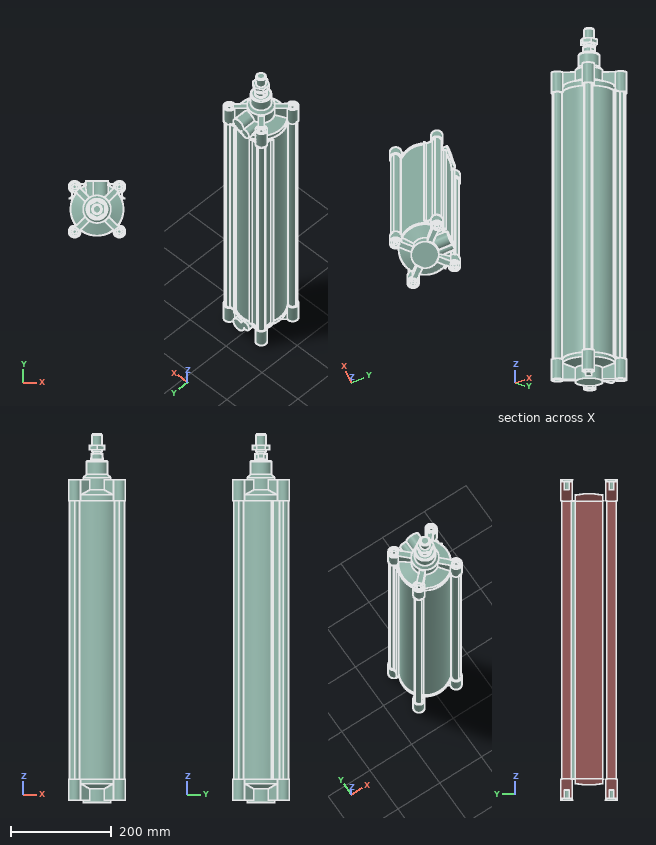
import cadquery as cq
import math

TOTAL_LENGTH = 733.0
CAP_LENGTH = 42.0
REAR_SPIGOT_LENGTH = 4.5
REAR_CAP_INNER = REAR_SPIGOT_LENGTH + CAP_LENGTH
FRONT_CAP_INNER = 600.0
FRONT_CAP_OUTER = FRONT_CAP_INNER + CAP_LENGTH
NECK_TOP = 680.0

BARREL_RADIUS = 53.0
TIE_PITCH = 89.0
TIE_OFFSET = TIE_PITCH / 2
TIE_RADIUS = TIE_OFFSET * math.sqrt(2)
LOBE_DIAMETER = 18.5
LOBE_OUTER_DIAMETER = 20.0
LOBE_WEB_SIDE = 81.0

RAIL_FACE = 50.5
RAIL_THICKNESS = 1.0
RAIL_LIP_START = 24.5
RAIL_LIP_END = 21.5
RAIL_LIP_REACH = 55.0
RAIL_LIP_BASE = 20.5

CAP_RADIUS = 52.5
CORNER_DIAMETER = 24.0
COUNTERBORE_DIAMETER = 16.5
COUNTERBORE_DEPTH = 4.0
SCREW_HOLE_DIAMETER = 8.5
SCREW_HOLE_DEPTH = 20.0
SPIGOT_DIAMETER = 55.0
RIB_WIDTH = 12.0
FRONT_RIM = 11.5
REAR_RIM = 9.0
CONE_HEIGHT = 10.0

PORT_FACE = TIE_OFFSET + CORNER_DIAMETER / 2
PORT_RADIUS = 14.5
PORT_X = 7.5
PORT_HEIGHT = 24.0
CUSHION_RADIUS = 11.0
CUSHION_X = -11.0
CUSHION_HEIGHT = 13.0

COLLAR_TOP = 646.0
NECK_DIAMETER = 42.0
COLLAR_CONE_TOP = COLLAR_TOP + (SPIGOT_DIAMETER - NECK_DIAMETER) / 2
NECK_CHAMFER = 2.5

ROD_DIAMETER = 25.0
HEAD_DIAMETER = 24.5
HEAD_FLATS = 22.0
HEAD_BOTTOM = 683.0
FLATS_BOTTOM = 685.0
SHOULDER = 693.0
UNDERCUT_DIAMETER = 16.5
THREAD_BOTTOM = 697.0
THREAD_DIAMETER = 20.0
THREAD_TIP_DIAMETER = 16.0
THREAD_TIP_LENGTH = 2.5
NUT_FLATS = 30.0
NUT_BOTTOM = 701.0
NUT_THICKNESS = 9.0


def cylinder(diameter, bottom, top, x=0.0, y=0.0):
    """Upright cylinder between two heights."""
    return cq.Workplane("XY", origin=(x, y, bottom)).circle(diameter / 2).extrude(top - bottom)


def revolve_profile(points):
    """Solid of revolution about Z from (radius, height) points."""
    return cq.Workplane("XZ").polyline(points).close().revolve(360, (0, 0), (0, 1))


def corner_points():
    return [(sx * TIE_OFFSET, sy * TIE_OFFSET) for sx in (-1, 1) for sy in (-1, 1)]


def diagonal_bars(width, bottom, top):
    """Two crossed bars joining opposite corners."""
    bars = cq.Workplane("XY")
    for angle in (45, 135):
        bar = (
            cq.Workplane("XY", origin=(0, 0, bottom))
            .transformed(rotate=(0, 0, angle))
            .rect(2 * TIE_RADIUS, width)
            .extrude(top - bottom)
        )
        bars = bars.union(bar)
    return bars


def sensor_rails():
    """Two thin hooked walls hanging from the +X, +Y lobe, each ending in a lip that meets the barrel."""
    inner = RAIL_FACE - RAIL_THICKNESS
    root = BARREL_RADIUS - LOBE_DIAMETER / 2
    outline = [
        (inner, TIE_OFFSET),
        (RAIL_FACE, TIE_OFFSET),
        (RAIL_FACE, RAIL_LIP_START),
        (RAIL_LIP_REACH, RAIL_LIP_END),
        (RAIL_LIP_REACH, RAIL_LIP_BASE),
        (root, RAIL_LIP_BASE),
        (root, RAIL_LIP_END),
        (inner, RAIL_LIP_END),
    ]
    swapped = [(y, x) for x, y in outline]
    base = cq.Workplane("XY", origin=(0, 0, REAR_CAP_INNER))
    length = FRONT_CAP_INNER - REAR_CAP_INNER
    side_rail = base.polyline(outline).close().extrude(length)
    back_rail = base.polyline(swapped).close().extrude(length)
    return side_rail.union(back_rail)


def barrel_lobe(x, y):
    """Round lobe around a tie rod; its outward-facing quarter stands slightly proud."""
    radius = LOBE_OUTER_DIAMETER / 2
    outward_x = math.copysign(radius / 2, x)
    outward_y = math.copysign(radius / 2, y)
    quarter = (
        cq.Workplane("XY", origin=(x + outward_x, y + outward_y, REAR_CAP_INNER))
        .rect(radius, radius)
        .extrude(FRONT_CAP_INNER - REAR_CAP_INNER)
        .intersect(cylinder(LOBE_OUTER_DIAMETER, REAR_CAP_INNER, FRONT_CAP_INNER, x, y))
    )
    return cylinder(LOBE_DIAMETER, REAR_CAP_INNER, FRONT_CAP_INNER, x, y).union(quarter)


def make_barrel():
    """Tube profile: round barrel with a square web carrying a lobe at each corner."""
    body = cylinder(2 * BARREL_RADIUS, REAR_CAP_INNER, FRONT_CAP_INNER)
    web = (
        cq.Workplane("XY", origin=(0, 0, REAR_CAP_INNER))
        .rect(LOBE_WEB_SIDE, LOBE_WEB_SIDE)
        .extrude(FRONT_CAP_INNER - REAR_CAP_INNER)
    )
    body = body.union(web)
    for x, y in corner_points():
        body = body.union(barrel_lobe(x, y))
    rails = sensor_rails()
    return body.union(rails).union(rails.mirror("YZ"))


def make_cap(rim):
    """End cap standing on its inner face at height 0, with its outer face up."""
    cap = revolve_profile(
        [
            (0, 0),
            (CAP_RADIUS, 0),
            (CAP_RADIUS, rim),
            (SPIGOT_DIAMETER / 2, rim + CONE_HEIGHT),
            (SPIGOT_DIAMETER / 2, CAP_LENGTH),
            (0, CAP_LENGTH),
        ]
    )
    cap = cap.union(diagonal_bars(RIB_WIDTH, 0, CAP_LENGTH))
    for x, y in corner_points():
        cap = cap.union(cylinder(CORNER_DIAMETER, 0, CAP_LENGTH, x, y))
    bosses = (
        (PORT_X, PORT_HEIGHT, PORT_RADIUS),
        (CUSHION_X, CUSHION_HEIGHT, CUSHION_RADIUS),
    )
    for x, height, radius in bosses:
        boss = cq.Workplane("XZ", origin=(x, 0, height)).circle(radius).extrude(-PORT_FACE)
        cap = cap.union(boss)
    return (
        cap.faces(">Z")
        .workplane(origin=(0, 0, CAP_LENGTH))
        .pushPoints(corner_points())
        .cboreHole(SCREW_HOLE_DIAMETER, COUNTERBORE_DIAMETER, COUNTERBORE_DEPTH, SCREW_HOLE_DEPTH)
    )


def make_rear_cap():
    cap = make_cap(REAR_RIM).mirror("XY").translate((0, 0, REAR_CAP_INNER))
    return cap.union(cylinder(SPIGOT_DIAMETER, 0, REAR_SPIGOT_LENGTH))


def make_front_cap():
    cap = make_cap(FRONT_RIM).translate((0, 0, FRONT_CAP_INNER))
    neck = revolve_profile(
        [
            (0, FRONT_CAP_OUTER),
            (SPIGOT_DIAMETER / 2, FRONT_CAP_OUTER),
            (SPIGOT_DIAMETER / 2, COLLAR_TOP),
            (NECK_DIAMETER / 2, COLLAR_CONE_TOP),
            (NECK_DIAMETER / 2, NECK_TOP - NECK_CHAMFER),
            (NECK_DIAMETER / 2 - NECK_CHAMFER, NECK_TOP),
            (0, NECK_TOP),
        ]
    )
    return cap.union(neck).cut(cylinder(ROD_DIAMETER, FRONT_CAP_INNER, NECK_TOP))


def make_rod():
    thread_radius = THREAD_DIAMETER / 2
    tip_radius = THREAD_TIP_DIAMETER / 2
    undercut_radius = UNDERCUT_DIAMETER / 2
    rod = revolve_profile(
        [
            (0, FRONT_CAP_INNER),
            (ROD_DIAMETER / 2, FRONT_CAP_INNER),
            (ROD_DIAMETER / 2, HEAD_BOTTOM),
            (HEAD_DIAMETER / 2, HEAD_BOTTOM),
            (HEAD_DIAMETER / 2, SHOULDER),
            (undercut_radius, SHOULDER),
            (undercut_radius, THREAD_BOTTOM),
            (thread_radius, THREAD_BOTTOM),
            (thread_radius, TOTAL_LENGTH - THREAD_TIP_LENGTH),
            (tip_radius, TOTAL_LENGTH),
            (0, TOTAL_LENGTH),
        ]
    )
    for side in (-1, 1):
        centre_x = side * (HEAD_FLATS + ROD_DIAMETER) / 2
        flat = cq.Workplane("XY", origin=(centre_x, 0, FLATS_BOTTOM)).rect(ROD_DIAMETER, ROD_DIAMETER)
        rod = rod.cut(flat.extrude(SHOULDER - FLATS_BOTTOM))
    return rod


def make_nut():
    """Hexagon jam nut with flats facing +X and -X."""
    return (
        cq.Workplane("XY", origin=(0, 0, NUT_BOTTOM))
        .polygon(6, NUT_FLATS, circumscribed=True)
        .circle(THREAD_DIAMETER / 2)
        .extrude(NUT_THICKNESS)
    )


barrel = make_barrel()
rear_cap = make_rear_cap()
front_cap = make_front_cap()
rod = make_rod()
nut = make_nut()

result = cq.Compound.makeCompound(
    [barrel.val(), rear_cap.val(), front_cap.val(), rod.val(), nut.val()]
)